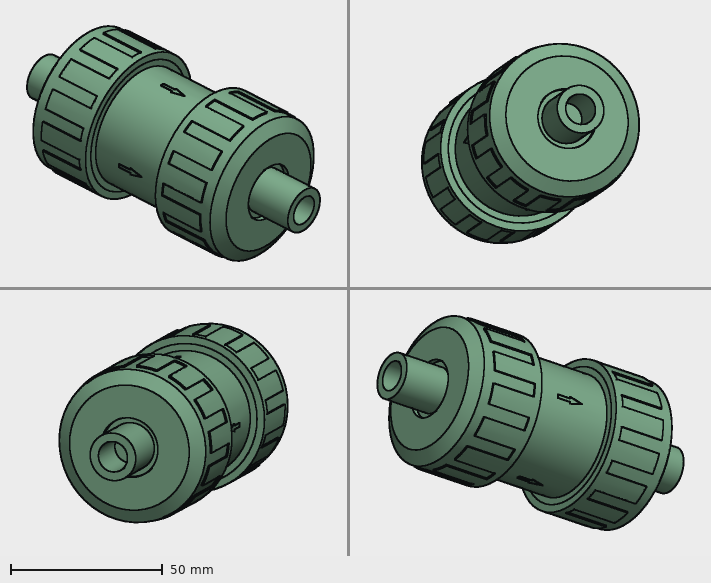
import cadquery as cq
import math

total_length = 115.0
nut_outer_x = 41.88
nut_inner_x = 15.4

body_diameter = 42.52
pipe_diameter = 16.0
bore_diameter = 10.2
bore_depth = total_length / 2 - nut_outer_x

nut_diameter = 52.5
groove_floor_diameter = 51.45
nut_face_diameter = 42.0
chamfer_length = 2.88
pipe_clearance_diameter = 20.0
pipe_clearance_depth = 2.0

nut_bore_diameter = 47.25
flange_diameter = 47.23
clearance_depth = 2.0

pad_count = 14
groove_angle = 10.0
shoulder_x = 34.9
collar_width = 2.8

arrow_count = 4
arrow_length = 10.0
arrow_shaft_width = 1.3
arrow_head_width = 2.6
arrow_height = 0.2


def cylinder_x(diameter, start_x, end_x):
    """Solid cylinder on the X axis between two X positions."""
    return cq.Workplane("YZ", origin=(start_x, 0, 0)).circle(diameter / 2).extrude(end_x - start_x)


def make_groove():
    """Wedge that clears one groove, starting at +Z and leaning toward +Y, on the -X nut."""
    reach = nut_diameter
    angle = math.radians(groove_angle)
    return (
        cq.Workplane("YZ", origin=(-shoulder_x, 0, 0))
        .polyline([(0, 0), (0, reach), (reach * math.sin(angle), reach * math.cos(angle))])
        .close()
        .extrude(shoulder_x - nut_inner_x - collar_width)
    )


def make_grip():
    """Castellated sleeve of the -X nut: pads joined by a plain collar on the inner end."""
    sleeve = cylinder_x(nut_diameter, -shoulder_x, -nut_inner_x)
    sleeve = sleeve.cut(cylinder_x(groove_floor_diameter, -shoulder_x, -nut_inner_x))
    groove = make_groove()
    for index in range(pad_count):
        sleeve = sleeve.cut(groove.rotate((0, 0, 0), (1, 0, 0), index * 360 / pad_count))
    return sleeve


def make_nut():
    """The -X union nut: chamfered core under the grip sleeve, recessed around the pipe."""
    core = (
        cq.Workplane("XY")
        .moveTo(-nut_outer_x, 0)
        .lineTo(-nut_outer_x, nut_face_diameter / 2)
        .lineTo(-nut_outer_x + chamfer_length, groove_floor_diameter / 2)
        .lineTo(-nut_inner_x, groove_floor_diameter / 2)
        .lineTo(-nut_inner_x, 0)
        .close()
        .revolve(360, (0, 0, 0), (1, 0, 0))
    )
    recess = cylinder_x(pipe_clearance_diameter, -nut_outer_x, -nut_outer_x + pipe_clearance_depth)
    return core.union(make_grip()).cut(recess)


def make_flange_clearance():
    """Thin ring of clearance sunk into the collar face of the -X nut."""
    start_x = -nut_inner_x - clearance_depth
    nut_bore = cylinder_x(nut_bore_diameter, start_x, -nut_inner_x)
    return nut_bore.cut(cylinder_x(flange_diameter, start_x, -nut_inner_x))


def make_end():
    """The -X end: nut with its flange clearance, and the pipe stub with its blind bore."""
    pipe_end_x = -total_length / 2
    pipe = cylinder_x(pipe_diameter, pipe_end_x, -nut_inner_x)
    bore = cylinder_x(bore_diameter, pipe_end_x, pipe_end_x + bore_depth)
    return make_nut().union(pipe).cut(bore).cut(make_flange_clearance())


def make_arrow():
    """Arrow on the +Z side of the body, raised above the round surface."""
    half_length = arrow_length / 2
    half_shaft = arrow_shaft_width / 2
    half_head = arrow_head_width / 2
    prism = (
        cq.Workplane("XY")
        .moveTo(-half_length, -half_shaft)
        .lineTo(0, -half_shaft)
        .lineTo(0, -half_head)
        .lineTo(half_length, 0)
        .lineTo(0, half_head)
        .lineTo(0, half_shaft)
        .lineTo(-half_length, half_shaft)
        .close()
        .extrude(body_diameter)
    )
    raised_diameter = body_diameter + 2 * arrow_height
    return prism.intersect(cylinder_x(raised_diameter, -half_length, half_length))


left_end = make_end()
right_end = left_end.rotate((0, 0, 0), (0, 0, 1), 180)
result = cylinder_x(body_diameter, -nut_inner_x, nut_inner_x).union(left_end).union(right_end)

arrow = make_arrow()
for arrow_index in range(arrow_count):
    result = result.union(arrow.rotate((0, 0, 0), (1, 0, 0), arrow_index * 360 / arrow_count))